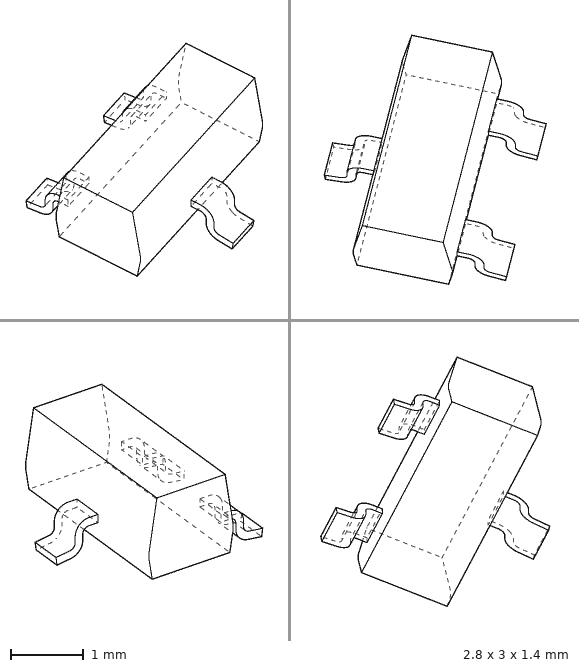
import cadquery as cq
import math

body_length = 3.0
waist_half_width = 0.7
body_bottom = 0.13
body_top = 1.4
draft_angle = math.radians(9)

lead_thickness = 0.13
lead_width = 0.51
lead_span = 2.8
lead_bottom = 0.454
lead_top = lead_bottom + lead_thickness
lead_pitch = 1.9
inner_radius = 0.1
outer_radius = inner_radius + lead_thickness
shoulder_bend_x = 0.85
foot_angle = math.radians(7.25)

lead_places = [(-1, lead_pitch / 2), (-1, -lead_pitch / 2), (1, 0)]


def make_body():
    """Extrude the eight-sided package section along Y."""
    top_half_width = waist_half_width - (body_top - lead_top) * math.tan(draft_angle)
    bottom_half_width = waist_half_width - (lead_bottom - body_bottom) * math.tan(draft_angle)
    right_side = [
        (bottom_half_width, body_bottom),
        (waist_half_width, lead_bottom),
        (waist_half_width, lead_top),
        (top_half_width, body_top),
    ]
    left_side = [(-x, z) for x, z in reversed(right_side)]
    section = cq.Workplane("XZ").polyline(right_side + left_side).close()
    return section.extrude(body_length / 2, both=True)


def on_arc(center, radius, angle):
    return (center[0] + radius * math.cos(angle), center[1] + radius * math.sin(angle))


def make_lead(side, y_center):
    """Bend a flat strip out of the waist, down, and out to a sloping foot."""
    toe_top = (lead_span / 2, lead_thickness * math.cos(foot_angle))
    toe_bottom = (toe_top[0] - lead_thickness * math.sin(foot_angle), 0)

    shoulder = (shoulder_bend_x, lead_bottom - inner_radius)
    ankle_x = shoulder_bend_x + outer_radius + inner_radius
    foot_run = toe_top[0] - (ankle_x - inner_radius * math.sin(foot_angle))
    foot_start_z = toe_top[1] + foot_run * math.tan(foot_angle)
    ankle = (ankle_x, foot_start_z + inner_radius * math.cos(foot_angle))

    shoulder_middle = math.radians(45)
    ankle_start = math.pi
    ankle_end = 1.5 * math.pi - foot_angle
    ankle_middle = (ankle_start + ankle_end) / 2

    strip = (
        cq.Workplane("XZ", origin=(0, y_center, 0))
        .moveTo(waist_half_width, lead_top)
        .lineTo(shoulder_bend_x, lead_top)
        .threePointArc(on_arc(shoulder, outer_radius, shoulder_middle), on_arc(shoulder, outer_radius, 0))
        .lineTo(*on_arc(ankle, inner_radius, ankle_start))
        .threePointArc(on_arc(ankle, inner_radius, ankle_middle), on_arc(ankle, inner_radius, ankle_end))
        .lineTo(*toe_top)
        .lineTo(*toe_bottom)
        .lineTo(*on_arc(ankle, outer_radius, ankle_end))
        .threePointArc(on_arc(ankle, outer_radius, ankle_middle), on_arc(ankle, outer_radius, ankle_start))
        .lineTo(*on_arc(shoulder, inner_radius, 0))
        .threePointArc(on_arc(shoulder, inner_radius, shoulder_middle), (shoulder_bend_x, lead_bottom))
        .lineTo(waist_half_width, lead_bottom)
        .close()
        .extrude(lead_width / 2, both=True)
    )
    return strip if side > 0 else strip.mirror("YZ")


body = make_body()
leads = [make_lead(side, y_center) for side, y_center in lead_places]

result = cq.Compound.makeCompound([body.val(), *[lead.val() for lead in leads]])